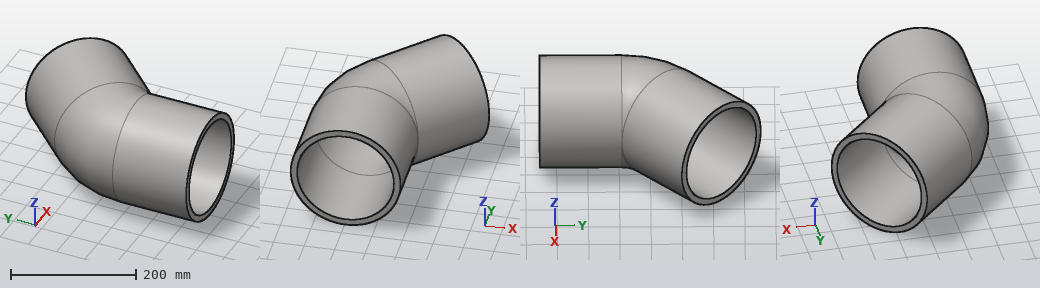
import cadquery as cq
import math

outer_diameter = 180.0
wall = 10.5
overall_length = 353.5
outlet_length = 135.0
bend_angle = 45.0
bend_radius = 90.2

turn = math.radians(bend_angle)

inlet_length = (
    overall_length
    - (bend_radius + outer_diameter / 2) * math.sin(turn)
    - outlet_length * math.cos(turn)
)


def arc_point(angle):
    """Point on the bend centreline after turning by the given angle."""
    return (
        bend_radius * (1 - math.cos(angle)),
        inlet_length + bend_radius * math.sin(angle),
    )


bend_end = arc_point(turn)
outlet_end = (
    bend_end[0] + outlet_length * math.sin(turn),
    bend_end[1] + outlet_length * math.cos(turn),
)
centreline = (
    cq.Workplane("XY")
    .lineTo(0, inlet_length)
    .threePointArc(arc_point(turn / 2), bend_end)
    .lineTo(*outlet_end)
)

result = (
    cq.Workplane("XZ")
    .circle(outer_diameter / 2)
    .circle(outer_diameter / 2 - wall)
    .sweep(centreline)
)